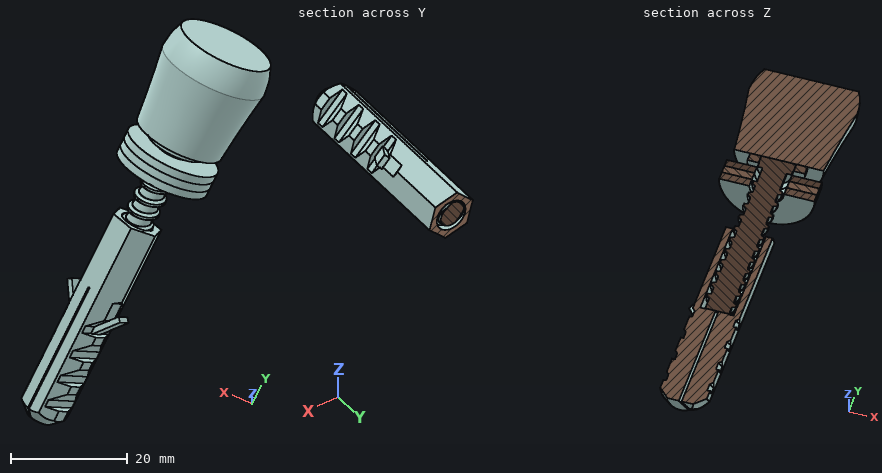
import cadquery as cq
import math

overall_length = 75.2

knob_length = 18.8
knob_band_length = 4.95
knob_back_radius = 8.5
knob_widest_diameter = 19.5
knob_front_radius = 8.05
knob_flank_hollow = 0.11

collar_thickness = 1.6
collar_radius = 5.2
collar_gap = 0.9
washer_count = 3
washer_thickness = 1.5
washer_radius = 8.6

shank_radius = 3.1
core_radius = 2.2
screw_end_y = 21.05
ring_radius = 2.85
ring_root_width = 1.3
ring_crest_width = 0.5
ring_pitch = 2.6
ring_count = 11
ring_first_y = 49.9
ring_tilt = 15.0

plug_length = 39.55
plug_sides = 6
plug_across_corners = 9.4
plug_tip_radius = 2.3
plug_bore_radius = 2.9
slot_length = 26.1
slot_width = 0.3
relief_length = 25.5
relief_flat_radius = 4.0

notch_count = 4
notch_first_y = 3.75
notch_pitch = 4.95
notch_floor_radius = 2.6
notch_floor_length = 1.35
notch_ramp_length = 2.0

barb_width = 2.3
barb_thickness = 1.05
barb_tip_radius = 7.1
barb_tip_y = 23.6
barb_lean = 40.0

corner_roll = 45.0

knob_widest_radius = knob_widest_diameter / 2
plug_corner_radius = plug_across_corners / 2
knob_front_y = overall_length - knob_length
knob_band_y = overall_length - knob_band_length
collar_front_y = knob_front_y - collar_thickness
washers_back_y = collar_front_y - collar_gap


def cylinder(radius, start_y, end_y):
    """Solid cylinder along Y between two stations."""
    return cq.Workplane("XZ", origin=(0, start_y, 0)).circle(radius).extrude(start_y - end_y)


def revolved(profile):
    """Turn a closed (radius, Y) profile in the XY plane about the Y axis."""
    return profile.close().revolve(360, (0, 0, 0), (0, 1, 0))


def rolled(shape, angle):
    """Roll a shape about the Y axis from +X towards +Z."""
    return shape.rotate((0, 0, 0), (0, 1, 0), -angle)


def make_knob():
    band_rise = knob_widest_radius - knob_back_radius
    band_arc_radius = (knob_band_length**2 + band_rise**2) / (2 * band_rise)
    half_angle = math.asin(knob_band_length / band_arc_radius) / 2
    band_mid = (
        knob_widest_radius - band_arc_radius * (1 - math.cos(half_angle)),
        knob_band_y + band_arc_radius * math.sin(half_angle),
    )
    flank_mid = (
        (knob_widest_radius + knob_front_radius) / 2 - knob_flank_hollow,
        (knob_band_y + knob_front_y) / 2,
    )
    profile = (
        cq.Workplane("XY")
        .moveTo(0, knob_front_y)
        .lineTo(knob_front_radius, knob_front_y)
        .threePointArc(flank_mid, (knob_widest_radius, knob_band_y))
        .threePointArc(band_mid, (knob_back_radius, overall_length))
        .lineTo(0, overall_length)
    )
    return revolved(profile)


def make_collar():
    disc = cylinder(collar_radius, collar_front_y, knob_front_y)
    return disc.cut(cylinder(shank_radius, collar_front_y, knob_front_y))


def make_washer(back_y):
    front_y = back_y - washer_thickness
    disc = cylinder(washer_radius, front_y, back_y)
    return disc.cut(cylinder(shank_radius, front_y, back_y))


def make_thread_ring(centre_y):
    """Closed thread ring, tilted so that its rearmost point is at -X +Z."""
    root = ring_root_width / 2
    crest = ring_crest_width / 2
    profile = (
        cq.Workplane("XY")
        .moveTo(0, -root)
        .lineTo(core_radius, -root)
        .lineTo(ring_radius, -crest)
        .lineTo(ring_radius, crest)
        .lineTo(core_radius, root)
        .lineTo(0, root)
    )
    ring = revolved(profile).rotate((0, 0, 0), (0, 0, 1), -ring_tilt)
    return rolled(ring, -corner_roll).translate((0, centre_y, 0))


def make_screw():
    screw = cylinder(core_radius, screw_end_y, washers_back_y)
    screw = screw.union(cylinder(shank_radius, washers_back_y, knob_front_y))
    for index in range(ring_count):
        screw = screw.union(make_thread_ring(ring_first_y - index * ring_pitch))
    return screw


def make_plug_blank():
    """Hexagonal bar with a coned tip and a blind bore from the mouth."""
    corners = [math.radians(corner_roll + 360 * index / plug_sides) for index in range(plug_sides)]
    outline = [(plug_corner_radius * math.cos(a), plug_corner_radius * math.sin(a)) for a in corners]
    bar = cq.Workplane("XZ").polyline(outline).close().extrude(-plug_length)
    cone_envelope = (
        cq.Workplane("XY")
        .lineTo(plug_tip_radius, 0)
        .lineTo(plug_tip_radius + plug_length, plug_length)
        .lineTo(0, plug_length)
    )
    bore = cylinder(plug_bore_radius, screw_end_y, plug_length)
    return bar.intersect(revolved(cone_envelope)).cut(bore)


def side_cutter(profile):
    """Extrude a (radius, Y) profile right across the plug."""
    return profile.close().extrude(plug_corner_radius, both=True)


def make_relief():
    """Cut that flattens a corner from the tip up to a slanted end."""
    outside = plug_corner_radius
    slant_rise = outside - relief_flat_radius
    return side_cutter(
        cq.Workplane("XY")
        .moveTo(relief_flat_radius, 0)
        .lineTo(outside, 0)
        .lineTo(outside, relief_length + slant_rise)
        .lineTo(relief_flat_radius, relief_length)
    )


def make_notch(wall_y):
    """Saw-tooth cut: square wall, flat floor, ramp back up to the relief flat."""
    outside = plug_corner_radius
    floor_end_y = wall_y + notch_floor_length
    ramp_slope = notch_ramp_length / (relief_flat_radius - notch_floor_radius)
    ramp_end_y = floor_end_y + ramp_slope * (outside - notch_floor_radius)
    return side_cutter(
        cq.Workplane("XY")
        .moveTo(notch_floor_radius, wall_y)
        .lineTo(outside, wall_y)
        .lineTo(outside, ramp_end_y)
        .lineTo(notch_floor_radius, floor_end_y)
    )


def make_barb():
    """Square-ended prong rising from the notch floor towards the plug mouth."""
    lean = math.radians(barb_lean)
    reach = (barb_tip_radius - notch_floor_radius) / math.sin(lean)
    tip = cq.Vector(barb_tip_radius, barb_tip_y, 0)
    along = cq.Vector(-math.sin(lean), -math.cos(lean), 0) * reach
    across = cq.Vector(-math.cos(lean), math.sin(lean), 0) * barb_thickness
    outline = [tip, tip + across, tip + across + along, tip + along]
    prong = cq.Workplane("XY").polyline([(p.x, p.y) for p in outline]).close()
    return prong.extrude(barb_width / 2, both=True)


def make_plug():
    plug = make_plug_blank()
    slot = cq.Workplane("XY").box(
        slot_width, slot_length, 2 * plug_corner_radius, centered=(True, False, True)
    )
    plug = plug.cut(rolled(slot, corner_roll))
    for roll in (corner_roll, corner_roll + 180):
        plug = plug.cut(rolled(make_relief(), roll))
        for index in range(notch_count):
            plug = plug.cut(rolled(make_notch(notch_first_y + index * notch_pitch), roll))
        plug = plug.union(rolled(make_barb(), roll))
    return plug


knob = make_knob()
collar = make_collar()
washers = [make_washer(washers_back_y - index * washer_thickness) for index in range(washer_count)]
screw = make_screw()
plug = make_plug()

result = cq.Compound.makeCompound(
    [knob.val(), collar.val(), *[washer.val() for washer in washers], screw.val(), plug.val()]
)